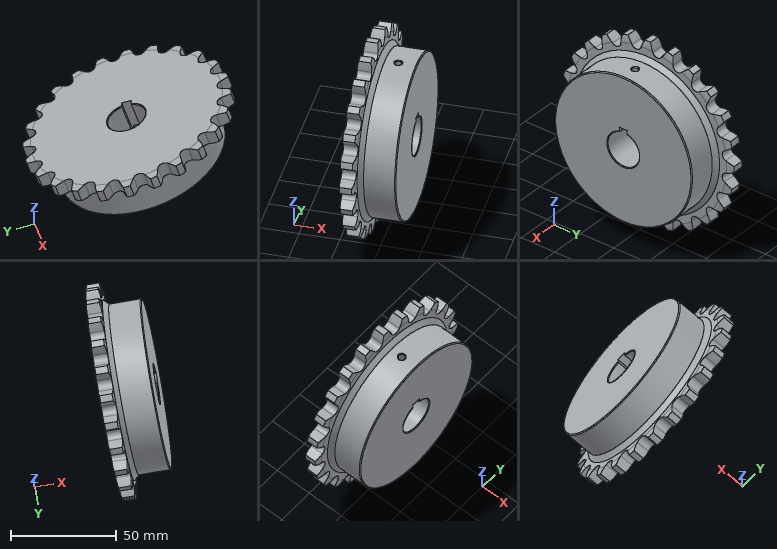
import cadquery as cq
import math

tooth_count = 24
tip_radius = 52.1
pitch_radius = 48.6
seat_radius = 2.9
flank_angle = 65.0
tip_half_width = 1.72
plate_thickness = 7.2

side_round_depth = 4.2
side_round_inset = 0.57

total_length = 25.4
hub_radius = 41.2
cone_length = 2.5
cone_base_radius = hub_radius + cone_length
hub_chamfer = 0.5

bore_radius = 9.5
bore_chamfer = 0.4
key_width = 4.8
key_top = 11.9

screw_x = 16.2
screw_diameter = 3.3
screw_mouth_diameter = 4.3

pitch_angle = 360 / tooth_count
cut_margin = 1.0


def around_x(outline):
    """Revolve an (axial, radial) outline in the XY plane about the X axis."""
    return outline.close().revolve(360, (0, 0, 0), (1, 0, 0))


def plate_blank():
    """Disc whose rim narrows through an arc on each side, tangent to the flat faces."""
    round_start = tip_radius - side_round_depth
    round_radius = (side_round_depth**2 + side_round_inset**2) / (2 * side_round_inset)
    middle_height = side_round_depth / 2
    middle_inset = round_radius - math.sqrt(round_radius**2 - middle_height**2)
    middle_radius = round_start + middle_height
    outline = (
        cq.Workplane("XY")
        .lineTo(0, round_start)
        .threePointArc((middle_inset, middle_radius), (side_round_inset, tip_radius))
        .lineTo(plate_thickness - side_round_inset, tip_radius)
        .threePointArc(
            (plate_thickness - middle_inset, middle_radius),
            (plate_thickness, round_start),
        )
        .lineTo(plate_thickness, 0)
    )
    return around_x(outline)


def tooth_gap():
    """Cutter for one gap, centred on +Z: a round seat and tangent flank arcs."""
    slope = math.radians(flank_angle)
    seat_end = (seat_radius * math.sin(slope), pitch_radius - seat_radius * math.cos(slope))
    tip_angle = math.radians(pitch_angle / 2) - math.asin(tip_half_width / tip_radius)
    tip = (tip_radius * math.sin(tip_angle), tip_radius * math.cos(tip_angle))
    outer = tip_radius + cut_margin

    half = (
        cq.Workplane("YZ")
        .moveTo(0, pitch_radius - seat_radius)
        .radiusArc(seat_end, -seat_radius)
        .tangentArcPoint(tip, relative=False)
        .lineTo(tip[0], outer)
        .lineTo(0, outer)
        .close()
        .extrude(plate_thickness)
    )
    return half.union(half.mirror("XZ"))


def toothed_plate():
    plate = plate_blank()
    gap = tooth_gap()
    for index in range(tooth_count):
        angle = (index + 0.5) * pitch_angle
        plate = plate.cut(gap.rotate((0, 0, 0), (1, 0, 0), angle))
    return plate


def hub():
    outline = (
        cq.Workplane("XY")
        .moveTo(plate_thickness, 0)
        .lineTo(plate_thickness, cone_base_radius)
        .lineTo(plate_thickness + cone_length, hub_radius)
        .lineTo(total_length - hub_chamfer, hub_radius)
        .lineTo(total_length, hub_radius - hub_chamfer)
        .lineTo(total_length, 0)
    )
    return around_x(outline)


def bore():
    """Bore with a chamfer at both ends."""
    mouth_radius = bore_radius + bore_chamfer
    outline = (
        cq.Workplane("XY")
        .lineTo(0, mouth_radius)
        .lineTo(bore_chamfer, bore_radius)
        .lineTo(total_length - bore_chamfer, bore_radius)
        .lineTo(total_length, mouth_radius)
        .lineTo(total_length, 0)
    )
    return around_x(outline)


def keyway():
    return cq.Workplane("XY").box(total_length, key_width, key_top, centered=(False, True, False))


def screw_hole():
    """Radial hole with a 45 degree countersunk mouth at the hub surface."""
    sink_depth = (screw_mouth_diameter - screw_diameter) / 2
    hole = cq.Workplane("XY").center(screw_x, 0).circle(screw_diameter / 2).extrude(hub_radius)
    sink = cq.Solid.makeCone(
        screw_diameter / 2,
        screw_mouth_diameter / 2,
        sink_depth,
        pnt=cq.Vector(screw_x, 0, hub_radius - sink_depth),
    )
    return hole.union(cq.Workplane(sink))


result = toothed_plate().union(hub()).cut(bore()).cut(keyway()).cut(screw_hole())